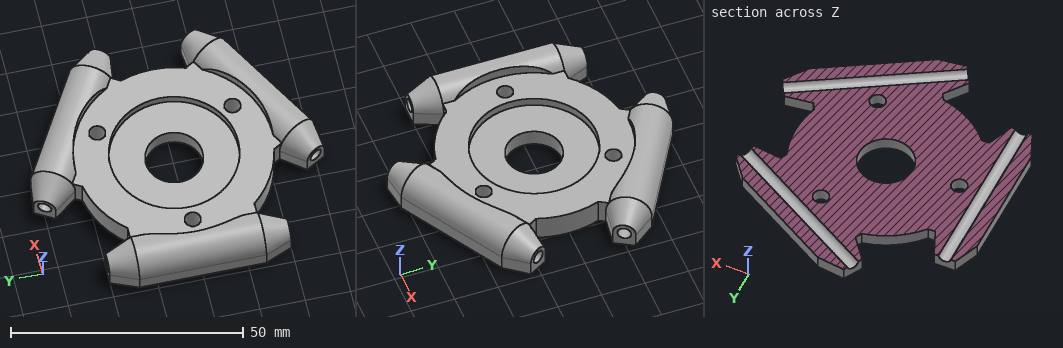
import cadquery as cq

disc_radius = 21.5
disc_height = 5.95
bore_diameter = 12.5
recess_diameter = 28.2
recess_depth = 2.0

arm_count = 3
mount_diameter = 3.5
mount_circle_radius = 17.25
mount_twist = 0.5

arm_offset = 23.0
arm_radius = 5.0
tip_radius = 2.5
arm_axis_height = 3.45
body_length = 28.0
arm_length = 40.05
pin_diameter = 3.0
arm_relief_radius = 21.75

arm_height = arm_axis_height + arm_radius
half_body = body_length / 2
half_arm = arm_length / 2
arm_angles = [i * 360 / arm_count for i in range(arm_count)]


def cylinder_on_arm_axis(radius, length):
    """Cylinder on the axis of the -X arm, centred at mid-length."""
    return (
        cq.Workplane("XZ", origin=(-arm_offset, length / 2, arm_axis_height))
        .circle(radius)
        .extrude(length)
    )


def tip_cone():
    """Tapered tip at the +Y end of the -X arm."""
    cone = cq.Solid.makeCone(
        arm_radius,
        tip_radius,
        half_arm - half_body,
        pnt=cq.Vector(-arm_offset, half_body, arm_axis_height),
        dir=cq.Vector(0, 1, 0),
    )
    return cq.Workplane(obj=cone)


def arm_base():
    """Straight-walled lower part of the -X arm, from the floor up to its axis."""
    return (
        cq.Workplane("XY")
        .center(-arm_offset, 0)
        .polyline([
            (-tip_radius, -half_arm),
            (tip_radius, -half_arm),
            (arm_radius, -half_body),
            (arm_radius, half_body),
            (tip_radius, half_arm),
            (-tip_radius, half_arm),
            (-arm_radius, half_body),
            (-arm_radius, -half_body),
        ])
        .close()
        .extrude(arm_axis_height)
    )


def arm_top():
    """Rounded upper part of the -X arm, above its axis."""
    cone = tip_cone()
    rounded = cylinder_on_arm_axis(arm_radius, body_length).union(cone).union(cone.mirror("XZ"))
    above_axis = (
        cq.Workplane("XY", origin=(-arm_offset, 0, arm_axis_height))
        .rect(2 * arm_radius, arm_length)
        .extrude(arm_radius)
    )
    return rounded.intersect(above_axis)


def arm_web():
    """Flat web joining the -X arm to the disc."""
    return (
        cq.Workplane("XY")
        .center(-arm_offset / 2, 0)
        .rect(arm_offset, body_length)
        .extrude(disc_height)
    )


def around_hub(shape, angle):
    """Copy of a shape turned about the hub axis."""
    return shape.rotate((0, 0, 0), (0, 0, 1), angle)


arm = arm_base().union(arm_top()).union(arm_web())
result = cq.Workplane("XY").circle(disc_radius).extrude(disc_height)
for angle in arm_angles:
    result = result.union(around_hub(arm, angle))

arm_relief = (
    cq.Workplane("XY", origin=(0, 0, disc_height))
    .circle(arm_relief_radius)
    .extrude(arm_height - disc_height)
)
result = result.cut(arm_relief)

pin_hole = cylinder_on_arm_axis(pin_diameter / 2, arm_length)
for angle in arm_angles:
    result = result.cut(around_hub(pin_hole, angle))

bore = cq.Workplane("XY").circle(bore_diameter / 2).extrude(disc_height)
recess = (
    cq.Workplane("XY", origin=(0, 0, disc_height - recess_depth))
    .circle(recess_diameter / 2)
    .extrude(recess_depth)
)
mount_holes = (
    cq.Workplane("XY")
    .polarArray(mount_circle_radius, 180 + mount_twist, 360, arm_count)
    .circle(mount_diameter / 2)
    .extrude(disc_height)
)
result = result.cut(bore).cut(recess).cut(mount_holes)